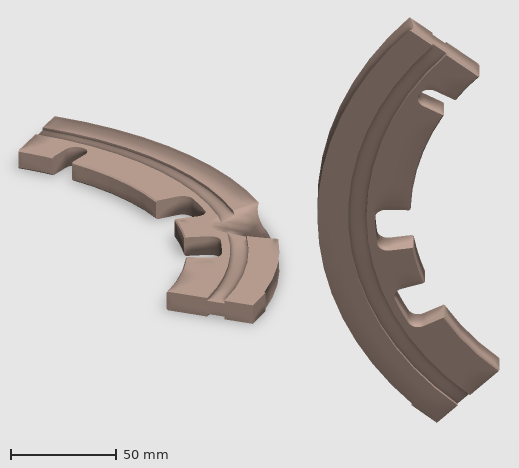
import cadquery as cq
import math

outer_radius = 174.0
inner_radius = 129.8
thickness = 9.5
end_angle = 89.15
inner_chamfer = 0.7

rim_depth = 2.3
tab_length = 16.2

track_inner_radius = 150.7
track_outer_radius = 159.4
track_depth = 1.4

notch_floor_radius = 146.7
narrow_notch_angle = 78.7
narrow_notch_width = 11.0
wide_notch_span = 10.3
wide_notch_offset = 10.1
wide_notch_fillet = 5.2

scoop_angle = 33.9
scoop_tip_radius = 144.8
scoop_start_radius = 29.5
scoop_tilt = 8.5
scoop_half_angle = 8.5
scoop_length = 69.6

half_thickness = thickness / 2
overcut = 8.7


def polar(radius, angle):
    """XY point at a radius and an angle in degrees."""
    return radius * math.cos(math.radians(angle)), radius * math.sin(math.radians(angle))


def make_ring():
    """Revolve the cross-section with its chamfered bore and concave rim."""
    section = (
        cq.Workplane("XZ")
        .moveTo(inner_radius + inner_chamfer, -half_thickness)
        .lineTo(outer_radius, -half_thickness)
        .threePointArc((outer_radius - rim_depth, 0), (outer_radius, half_thickness))
        .lineTo(inner_radius + inner_chamfer, half_thickness)
        .lineTo(inner_radius, half_thickness - inner_chamfer)
        .lineTo(inner_radius, -half_thickness + inner_chamfer)
        .close()
    )
    return section.revolve(end_angle, (0, 0, 0), (0, 1, 0))


def make_tab():
    """Block that fills the concave rim at the X-axis end."""
    tab = cq.Workplane("XY").box(
        outer_radius - track_outer_radius, tab_length, thickness, centered=(False, False, True)
    )
    return tab.translate((track_outer_radius, 0, 0))


def make_track_groove(side):
    """Ring cutter for one face; side is +1 for the top and -1 for the bottom."""
    floor = half_thickness - track_depth
    ring = cq.Workplane("XY").circle(track_outer_radius).circle(track_inner_radius).extrude(overcut)
    if side > 0:
        return ring.translate((0, 0, floor))
    return ring.translate((0, 0, -floor - overcut))


def make_narrow_notch():
    """Radial slot with a full round end."""
    end_radius = narrow_notch_width / 2
    mouth = inner_radius - overcut
    round_centre = notch_floor_radius - end_radius
    return (
        cq.Workplane("XY")
        .moveTo(mouth, -end_radius)
        .lineTo(round_centre, -end_radius)
        .threePointArc((notch_floor_radius, 0), (round_centre, end_radius))
        .lineTo(mouth, end_radius)
        .close()
        .extrude(half_thickness, both=True)
        .rotate((0, 0, 0), (0, 0, 1), narrow_notch_angle)
    )


def make_wide_notch(angle):
    """Notch with radial walls, an arc floor and rounded floor corners."""
    half_span = wide_notch_span / 2
    corner_x, corner_y = polar(notch_floor_radius, half_span)
    mouth_x, mouth_y = polar(inner_radius - overcut, half_span)
    return (
        cq.Workplane("XY")
        .moveTo(mouth_x, -mouth_y)
        .lineTo(corner_x, -corner_y)
        .threePointArc((notch_floor_radius, 0), (corner_x, corner_y))
        .lineTo(mouth_x, mouth_y)
        .close()
        .extrude(half_thickness, both=True)
        .edges("|Z")
        .edges(">X")
        .fillet(wide_notch_fillet)
        .rotate((0, 0, 0), (0, 0, 1), angle)
    )


def make_scoop():
    """Tilted cone that meets the top face at the scoop tip."""
    tilt = math.radians(scoop_tilt)
    base_x = scoop_tip_radius + scoop_start_radius * math.sin(tilt)
    base_z = half_thickness + scoop_start_radius * math.cos(tilt)
    growth = math.tan(math.radians(scoop_half_angle))
    cone = cq.Solid.makeCone(
        scoop_start_radius - overcut * growth,
        scoop_start_radius + scoop_length * growth,
        overcut + scoop_length,
        cq.Vector(base_x - overcut * math.cos(tilt), 0, base_z + overcut * math.sin(tilt)),
        cq.Vector(math.cos(tilt), 0, -math.sin(tilt)),
    )
    return cq.Workplane("XY").add(cone).rotate((0, 0, 0), (0, 0, 1), scoop_angle)


result = make_ring().union(make_tab())
for side in (1, -1):
    result = result.cut(make_track_groove(side))
result = result.cut(make_narrow_notch())
for offset in (-wide_notch_offset, wide_notch_offset):
    result = result.cut(make_wide_notch(scoop_angle + offset))
result = result.cut(make_scoop())